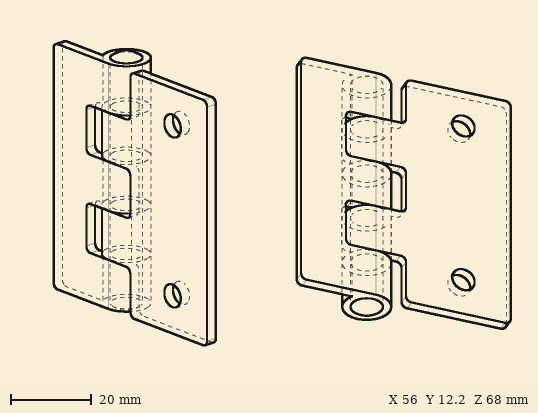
import cadquery as cq

overall_height = 68.0
dome_height = 1.5
knuckle_count = 5
barrel_diameter = 12.2
pin_diameter = 8.0
leaf_thickness = 3.0
left_leaf_reach = 20.0
right_leaf_reach = 36.05
notch_depth = 8.0
corner_radius = 1.5
hole_diameter = 6.0
hole_offset = 23.4
hole_spacing = 45.0

leaf_height = overall_height - 2 * dome_height
knuckle_height = leaf_height / knuckle_count
barrel_radius = barrel_diameter / 2
pin_radius = pin_diameter / 2
leaf_front = -barrel_radius
leaf_middle = leaf_front + leaf_thickness / 2


def knuckle_bottom(index):
    return -leaf_height / 2 + index * knuckle_height


def make_cylinder(radius, bottom, height):
    return cq.Workplane("XY").workplane(offset=bottom).circle(radius).extrude(height)


def make_plate(side, reach):
    """Plain plate on one side of the axis, starting at the notch edge."""
    width = reach - notch_depth
    center_x = side * (reach + notch_depth) / 2
    return cq.Workplane("XY").box(width, leaf_thickness, leaf_height).translate((center_x, leaf_middle, 0))


def make_tab(side, index):
    """Strip that joins the plate to the barrel at one knuckle."""
    center = (side * notch_depth / 2, leaf_middle, knuckle_bottom(index) + knuckle_height / 2)
    return cq.Workplane("XY").box(notch_depth, leaf_thickness, knuckle_height).translate(center)


def make_leaf(side, reach, knuckle_indices):
    """Leaf with knuckles; side is -1 for left of the axis and +1 for right."""
    leaf = make_plate(side, reach)
    for index in knuckle_indices:
        leaf = leaf.union(make_tab(side, index))
    leaf = leaf.clean()

    tab_ends = "<X" if side > 0 else ">X"
    leaf = leaf.edges(f"|Y and (not {tab_ends})").fillet(corner_radius)
    leaf = add_barrels(leaf, knuckle_indices)
    return leaf.cut(make_cylinder(pin_radius, -leaf_height / 2, leaf_height))


def add_barrels(leaf, knuckle_indices):
    for index in knuckle_indices:
        leaf = leaf.union(make_cylinder(barrel_radius, knuckle_bottom(index), knuckle_height))
    return leaf


def make_mounting_holes():
    return (
        cq.Workplane("XZ", origin=(0, leaf_front + leaf_thickness, 0))
        .pushPoints([(hole_offset, -hole_spacing / 2), (hole_offset, hole_spacing / 2)])
        .circle(hole_diameter / 2)
        .extrude(leaf_thickness)
    )


def make_pin():
    """Pin with a shallow spherical dome at each end."""
    dome_radius = (pin_radius**2 + dome_height**2) / (2 * dome_height)
    tip = overall_height / 2
    shoulder = leaf_height / 2
    mid_x = pin_radius / 2
    mid_z = tip - dome_radius + (dome_radius**2 - mid_x**2) ** 0.5
    return (
        cq.Workplane("XZ")
        .moveTo(0, -tip)
        .threePointArc((mid_x, -mid_z), (pin_radius, -shoulder))
        .lineTo(pin_radius, shoulder)
        .threePointArc((mid_x, mid_z), (0, tip))
        .close()
        .revolve(360, (0, 0, 0), (0, 1, 0))
    )


left_leaf = make_leaf(-1, left_leaf_reach, range(0, knuckle_count, 2))
right_leaf = make_leaf(1, right_leaf_reach, range(1, knuckle_count, 2)).cut(make_mounting_holes())
pin = make_pin()

result = cq.Compound.makeCompound([left_leaf.val(), right_leaf.val(), pin.val()])